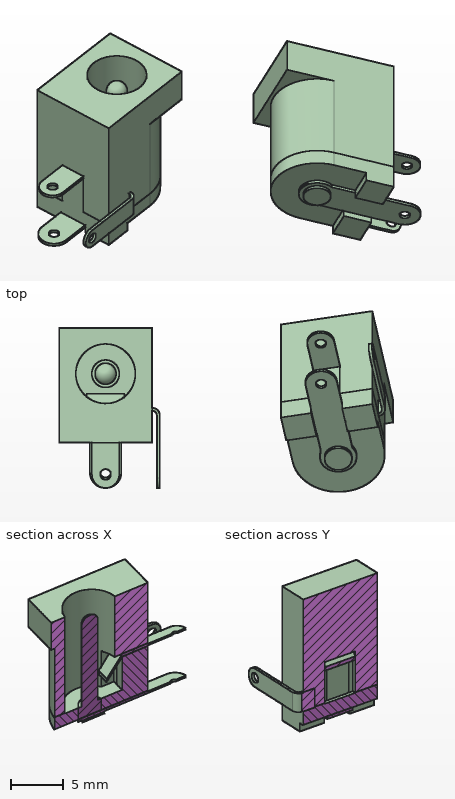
import cadquery as cq
import math


width = 8.8
height = 14.42
head_back = 4.75
front = -6.09
head_bottom = 10.98
base_top = 2.4
base_bottom = 0.9
foot_back = -3.3
bore_diameter = 5.64
bore_y = 0.42

pin_diameter = 2.0
collar_diameter = 2.6
pin_tip_drop = 0.98
rivet_thickness = 0.29

overall_depth = 15.15
tip_y = head_back - overall_depth
solder_hole = 1.0
plate = 0.3
spring_plate = 0.27
spring_tab_width = 2.58
spring_tab_top = 6.82
blade_width = 3.55
blade_root_y = -3.18
blade_end_y = -1.47
blade_drop = 2.27
pin_tab_width = 3.0
pin_eye_radius = 1.74
side_tab_height = 2.0
side_overhang = 0.74
side_back = -2.79
side_inner_x = 3.03

spring_tab_bottom = spring_tab_top - spring_plate


def block(x0, x1, y0, y1, z0, z1):
    """Box given by its limits along each axis."""
    return cq.Workplane("XY").box(x1 - x0, y1 - y0, z1 - z0, centered=False).translate((x0, y0, z0))


def centered_block(block_width, y0, y1, z0, z1):
    """Box centred on X = 0."""
    return block(-block_width / 2, block_width / 2, y0, y1, z0, z1)


def disc(diameter, y, z0, z1):
    """Upright cylinder on the plane of symmetry."""
    return cq.Workplane("XY", origin=(0, y, z0)).circle(diameter / 2).extrude(z1 - z0)


def round_back_body(z0, z1):
    """Prism with a flat front and a half-round back."""
    return centered_block(width, front, 0, z0, z1).union(disc(width, 0, z0, z1))


def solder_tab(tab_width, inner_y, z0, thickness):
    """Horizontal tab with a round, drilled outer end."""
    eye_y = tip_y + tab_width / 2
    tab = centered_block(tab_width, eye_y, inner_y, z0, z0 + thickness)
    tab = tab.union(disc(tab_width, eye_y, z0, z0 + thickness))
    return tab.cut(disc(solder_hole, eye_y, z0, z0 + thickness))


def make_spring_terminal():
    """Upper tab that continues as a wider blade sloping down into the bore."""
    tab = solder_tab(spring_tab_width, blade_root_y, spring_tab_bottom, spring_plate)
    slope_length = math.hypot(blade_end_y - blade_root_y, blade_drop)
    blade_height = spring_plate * slope_length / (blade_end_y - blade_root_y)
    blade = (
        cq.Workplane("YZ", origin=(-blade_width / 2, 0, 0))
        .moveTo(blade_root_y, spring_tab_top)
        .lineTo(blade_end_y, spring_tab_top - blade_drop)
        .lineTo(blade_end_y, spring_tab_top - blade_drop - blade_height)
        .lineTo(blade_root_y, spring_tab_top - blade_height)
        .close()
        .extrude(blade_width)
    )
    return tab.union(blade)


def make_pin_terminal():
    """Lower tab running under the base to a round eye above the rivet."""
    z0 = base_bottom - plate
    tab = solder_tab(pin_tab_width, 0, z0, plate)
    return tab.union(disc(2 * pin_eye_radius, 0, z0, base_bottom))


def make_side_terminal():
    """Strip leaving the side wall and bending toward the front, with a round drilled end."""
    wall_x = width / 2
    outer_radius = side_overhang
    inner_radius = outer_radius - plate
    outer_x = wall_x + side_overhang
    bend_y = side_back - outer_radius
    diagonal = math.sqrt(0.5)
    strip = (
        cq.Workplane("XY", origin=(0, 0, base_top))
        .moveTo(side_inner_x, side_back)
        .lineTo(wall_x, side_back)
        .threePointArc((wall_x + outer_radius * diagonal, bend_y + outer_radius * diagonal), (outer_x, bend_y))
        .lineTo(outer_x, tip_y)
        .lineTo(outer_x - plate, tip_y)
        .lineTo(outer_x - plate, bend_y)
        .threePointArc(
            (wall_x + inner_radius * diagonal, bend_y + inner_radius * diagonal),
            (wall_x, side_back - plate),
        )
        .lineTo(side_inner_x, side_back - plate)
        .close()
        .extrude(side_tab_height)
    )
    end_radius = side_tab_height / 2
    eye_y = tip_y + end_radius
    eye_z = base_top + end_radius
    eye_plane = cq.Workplane("YZ", origin=(outer_x - plate, eye_y, eye_z))
    square_end = block(outer_x - plate, outer_x, tip_y, eye_y, base_top, base_top + side_tab_height)
    round_end = eye_plane.circle(end_radius).extrude(plate)
    hole = eye_plane.circle(solder_hole / 2).extrude(plate)
    return strip.cut(square_end).union(round_end).cut(hole)


def make_housing():
    """Outer block with its bore, spring pocket and terminal slots."""
    body = round_back_body(base_top, height)
    body = body.union(centered_block(width, front, head_back, head_bottom, height))
    bore = disc(bore_diameter, bore_y, base_top, height)
    blade_pocket = centered_block(blade_width, blade_root_y, bore_y, base_top, spring_tab_top)
    tongue_slot = centered_block(spring_tab_width, front, blade_root_y, base_top, spring_tab_top)
    side_slot = block(
        side_inner_x, width / 2, side_back - plate, side_back, base_top, base_top + side_tab_height
    )
    return body.cut(bore).cut(blade_pocket).cut(tongue_slot).cut(side_slot)


def make_base():
    """Floor with two front feet, a tongue under the spring tab and a hole for the pin collar."""
    body = round_back_body(base_bottom, base_top)
    feet = centered_block(width, front, foot_back, 0, base_bottom)
    foot_gap = centered_block(pin_tab_width, front, foot_back, 0, base_bottom)
    tongue = centered_block(spring_tab_width, front, blade_root_y, base_top, spring_tab_bottom)
    collar_hole = disc(collar_diameter, bore_y, base_bottom, base_top)
    return body.union(feet.cut(foot_gap)).union(tongue).cut(collar_hole)


def make_pin():
    """Contact pin with a ball end and a collar set flush in the base."""
    ball_z = height - pin_tip_drop - pin_diameter / 2
    collar = disc(collar_diameter, bore_y, base_bottom, base_top)
    shaft = disc(pin_diameter, bore_y, base_bottom, ball_z)
    ball = cq.Workplane("XY", origin=(0, bore_y, ball_z)).sphere(pin_diameter / 2)
    return collar.union(shaft).union(ball)


def make_rivet():
    """Rivet head under the eye of the pin terminal."""
    rivet_top = base_bottom - plate
    return disc(collar_diameter, 0, rivet_top - rivet_thickness, rivet_top)


housing = make_housing()
base = make_base()
pin = make_pin()
rivet = make_rivet()
spring_terminal = make_spring_terminal()
pin_terminal = make_pin_terminal()
side_terminal = make_side_terminal()

result = cq.Compound.makeCompound([
    housing.solids().val(),
    base.solids().val(),
    pin.solids().val(),
    rivet.solids().val(),
    spring_terminal.solids().val(),
    pin_terminal.solids().val(),
    side_terminal.solids().val(),
])